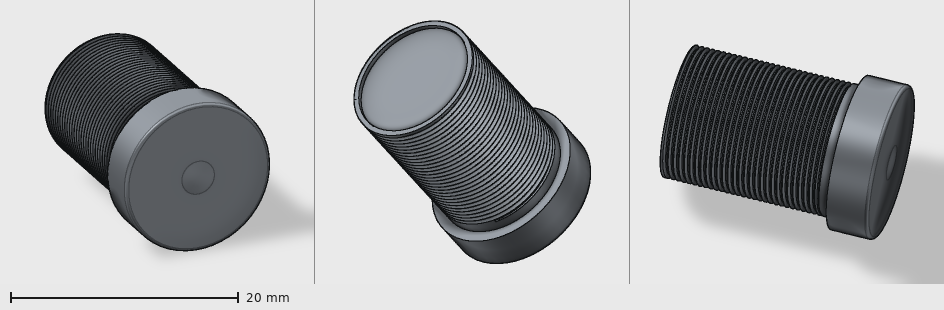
import cadquery as cq
import math

total_length = 19.6
head_start = 15.6
lens_height = 0.15
head_end = total_length - lens_height

head_radius = 7.0
barrel_radius = 6.0
head_edge_fillet = 0.3

recess_radius = 5.5
recess_depth = 0.43

lens_rim_radius = 1.57

two_turn_advance = 1.0
thread_pitch = two_turn_advance / 2
thread_turns = 28.25
runout_turns = 0.5
thread_start = 0.24
groove_depth = 0.61 * thread_pitch
root_radius = barrel_radius - groove_depth
groove_root_width = thread_pitch / 4
flank_angle = 30.0
start_angle = 90.0
cutter_overlap = 0.02


def cylinder(start, end, radius):
    """Cylinder on the X axis between two positions."""
    return cq.Workplane("YZ").workplane(offset=start).circle(radius).extrude(end - start)


def make_body():
    barrel = cylinder(0, head_start, barrel_radius)
    head = cylinder(head_start, head_end, head_radius).faces(">X").edges().fillet(head_edge_fillet)
    recess = cylinder(0, recess_depth, recess_radius)
    return barrel.union(head).cut(recess)


def make_lens():
    sphere_radius = (lens_rim_radius**2 + lens_height**2) / (2 * lens_height)
    bulge_angle = math.asin(lens_rim_radius / sphere_radius) / 2
    bulge_point = (
        total_length - sphere_radius * (1 - math.cos(bulge_angle)),
        sphere_radius * math.sin(bulge_angle),
    )
    return (
        cq.Workplane("XY")
        .moveTo(head_end - lens_height, 0)
        .lineTo(head_end - lens_height, lens_rim_radius)
        .lineTo(head_end, lens_rim_radius)
        .threePointArc(bulge_point, (total_length, 0))
        .close()
        .revolve(360, (0, 0, 0), (1, 0, 0))
    )


def sweep_groove(path):
    """Sweep the groove section along a helix that starts on the X axis at the groove bottom."""
    outer_radius = barrel_radius + cutter_overlap
    root_half = groove_root_width / 2
    outer_half = root_half + (outer_radius - root_radius) * math.tan(math.radians(flank_angle))
    return (
        cq.Workplane("XZ")
        .polyline([
            (root_radius, -root_half),
            (outer_radius, -outer_half),
            (outer_radius, outer_half),
            (root_radius, root_half),
        ])
        .close()
        .sweep(cq.Workplane(obj=path), isFrenet=True)
    )


def place_groove(groove, turns_before):
    """Turn a groove from Z onto the X axis and move it along the thread."""
    return (
        groove
        .rotate((0, 0, 0), (0, 1, 0), 90)
        .rotate((0, 0, 0), (1, 0, 0), start_angle + 360 * turns_before)
        .translate((thread_start + thread_pitch * turns_before, 0, 0))
    )


def make_thread_groove():
    helix = cq.Wire.makeHelix(thread_pitch, thread_pitch * thread_turns, root_radius)
    return place_groove(sweep_groove(helix), 0)


def make_thread_runout():
    """Conical continuation of the groove that rises to the barrel surface."""
    runout_length = thread_pitch * runout_turns
    cone_angle = math.degrees(math.atan(groove_depth / runout_length))
    helix = cq.Wire.makeHelix(thread_pitch, runout_length, root_radius, angle=cone_angle)
    return place_groove(sweep_groove(helix), thread_turns)


result = (
    make_body()
    .union(make_lens())
    .cut(make_thread_groove())
    .cut(make_thread_runout())
)